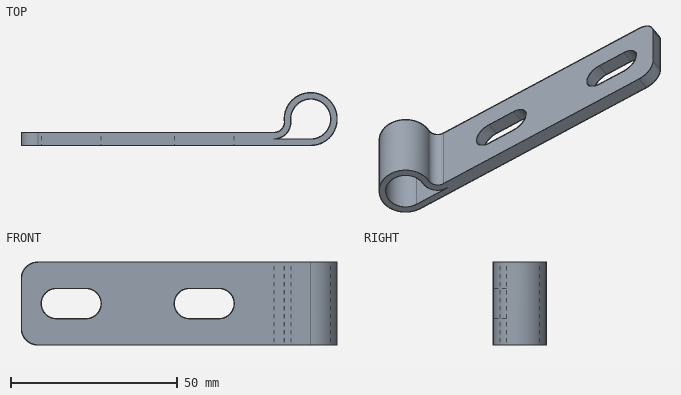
import cadquery as cq
import math

length = 95.0
height = 25.0
thickness = 2.0
corner_radius = 5.0

eye_outer_radius = 8.0
eye_inner_radius = eye_outer_radius - thickness
eye_x = length - eye_outer_radius
eye_y = eye_outer_radius

bend_inner_radius = 3.0
bend_outer_radius = bend_inner_radius + thickness
leaves_thickness = 2 * thickness
bend_y = leaves_thickness + bend_inner_radius
center_distance = eye_outer_radius + bend_inner_radius
bend_x = eye_x - math.sqrt(center_distance**2 - (eye_y - bend_y) ** 2)
tangent_angle = math.atan2(bend_y - eye_y, bend_x - eye_x)

slot_length = 18.0
slot_width = 9.0
first_slot_x = 15.0
slot_spacing = 40.0


def eye_point(radius, angle):
    """Point on a circle around the eye axis."""
    return (eye_x + radius * math.cos(angle), eye_y + radius * math.sin(angle))


def bend_point(radius, angle):
    """Point on a circle around the reverse bend axis."""
    return (bend_x + radius * math.cos(angle), bend_y + radius * math.sin(angle))


bend_start = -math.pi / 2
bend_end = tangent_angle + math.pi
bend_middle = (bend_start + bend_end) / 2


def folded_strip():
    """Two touching leaves and the rolled eye, extruded along Z."""
    envelope = (
        cq.Workplane("XY")
        .lineTo(eye_x, 0)
        .threePointArc(eye_point(eye_outer_radius, 0), eye_point(eye_outer_radius, tangent_angle))
        .threePointArc(bend_point(bend_inner_radius, bend_middle), (bend_x, leaves_thickness))
        .lineTo(0, leaves_thickness)
        .close()
        .extrude(height)
    )
    hollow = (
        cq.Workplane("XY")
        .moveTo(bend_x, thickness)
        .lineTo(eye_x, thickness)
        .threePointArc(eye_point(eye_inner_radius, 0), eye_point(eye_inner_radius, tangent_angle))
        .threePointArc(bend_point(bend_outer_radius, bend_middle), (bend_x, thickness))
        .close()
        .extrude(height)
    )
    return envelope.cut(hollow)


def slots():
    """Cutters for the two long holes through both leaves."""
    centers = [(first_slot_x + i * slot_spacing, height / 2) for i in range(2)]
    return (
        cq.Workplane("XZ")
        .pushPoints(centers)
        .slot2D(slot_length, slot_width)
        .extrude(-leaves_thickness)
    )


rounded_strip = folded_strip().edges("|Y and <X").fillet(corner_radius)
result = rounded_strip.cut(slots())